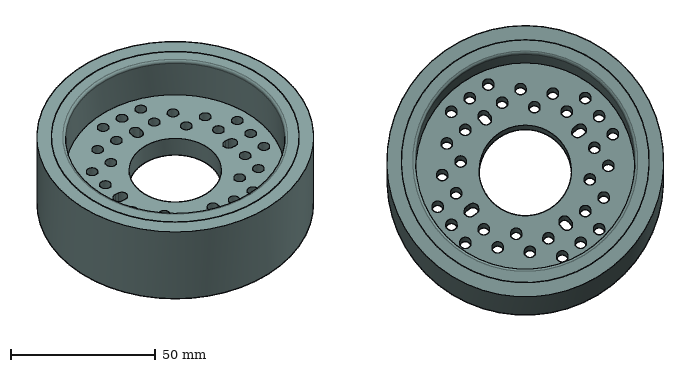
import cadquery as cq

OUTER_DIAMETER = 96
GRID_PITCH = OUTER_DIAMETER / 12
HEIGHT = 4 * GRID_PITCH

BORE_DIAMETER = 9.5 * GRID_PITCH
UPPER_DEPTH = 2 * GRID_PITCH
FLOOR_THICKNESS = GRID_PITCH
LOWER_DEPTH = HEIGHT - UPPER_DEPTH - FLOOR_THICKNESS
RIM_FILLET = GRID_PITCH / 8

GROOVE_OUTER_DIAMETER = 10.75 * GRID_PITCH
GROOVE_WIDTH = 0.1
GROOVE_DEPTH = 0.1

CENTER_HOLE_DIAMETER = 4 * GRID_PITCH
SMALL_HOLE_DIAMETER = GRID_PITCH / 2
SLOT_STRETCH = 1.3

QUADRANT_HOLES = [(0, 4), (1, 4), (1, 3), (2, 3), (2, 2), (3, 2), (3, 1), (4, 1), (4, 0)]
SLOT_STEP = 3


def make_ring():
    """Short cylinder with a cavity at each end, separated by a floor."""
    body = cq.Workplane("XY").circle(OUTER_DIAMETER / 2).extrude(HEIGHT)
    body = body.faces(">Z").workplane().circle(BORE_DIAMETER / 2).cutBlind(-UPPER_DEPTH)
    lower_cavity = cq.Workplane("XY").circle(BORE_DIAMETER / 2).extrude(LOWER_DEPTH)
    body = body.cut(lower_cavity)
    bore_rim = body.faces(">Z").edges(cq.selectors.RadiusNthSelector(0))
    return bore_rim.fillet(RIM_FILLET)


def top_groove():
    """Thin ring that cuts the hairline groove around the bore."""
    outer_radius = GROOVE_OUTER_DIAMETER / 2
    profile = cq.Workplane("XY").workplane(offset=HEIGHT - GROOVE_DEPTH)
    return profile.circle(outer_radius).circle(outer_radius - GROOVE_WIDTH).extrude(GROOVE_DEPTH)


def small_hole_centers():
    """Grid points of the small round holes in all four quadrants."""
    steps = {
        (x_sign * column, y_sign * row)
        for column, row in QUADRANT_HOLES
        for x_sign in (1, -1)
        for y_sign in (1, -1)
    }
    return [(column * GRID_PITCH, row * GRID_PITCH) for column, row in sorted(steps)]


def floor_openings():
    """Centre hole, small holes and four radial slots, as one cutting shape."""
    cutter = cq.Workplane("XY").circle(CENTER_HOLE_DIAMETER / 2).extrude(HEIGHT)
    small_holes = cq.Workplane("XY").pushPoints(small_hole_centers())
    cutter = cutter.union(small_holes.circle(SMALL_HOLE_DIAMETER / 2).extrude(HEIGHT))
    slot_center = SLOT_STEP * GRID_PITCH - SLOT_STRETCH / 2
    slot_length = SMALL_HOLE_DIAMETER + SLOT_STRETCH
    slot = cq.Workplane("XY").center(slot_center, 0).slot2D(slot_length, SMALL_HOLE_DIAMETER).extrude(HEIGHT)
    for angle in (0, 90, 180, 270):
        cutter = cutter.union(slot.rotate((0, 0, 0), (0, 0, 1), angle))
    return cutter


result = make_ring().cut(top_groove()).cut(floor_openings())